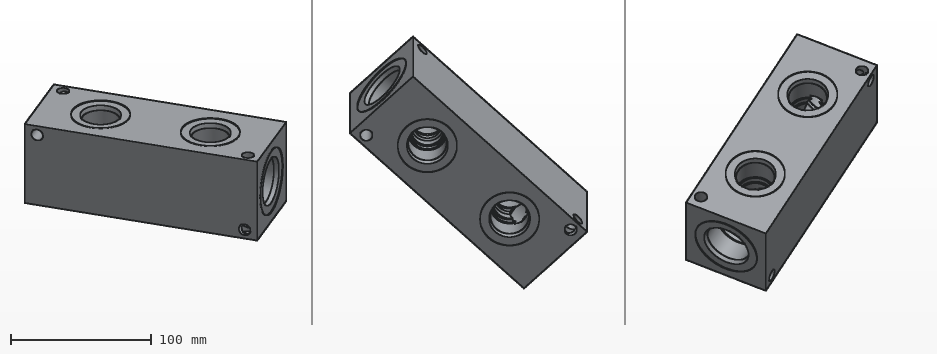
import cadquery as cq
import math

length = 174.6
side = 63.5
half_length = length / 2
half_side = side / 2

mount_diameter = 8.7
mount_end_distance = 9.5
mount_edge_distance = 7.2

spotface_depth = 0.7
seat_depth = 4.2
thread_depth = 19.9
tap_drill_depth = 23.7
drill_point_angle = 118.0

side_port_x = 41.2
side_spotface_diameter = 42.0
side_mouth_diameter = 29.2
side_seat_diameter = 27.5
side_thread_diameter = 27.0
side_tap_drill_diameter = 24.8
side_passage_diameter = 22.9
side_waist_diameter = 19.5

end_spotface_diameter = 49.0
end_mouth_diameter = 35.5
end_seat_diameter = 33.7
end_thread_diameter = 33.4
end_tap_drill_diameter = 31.3
end_bore_diameter = 28.6
left_tip_gap = 4.7
right_tip_gap = 3.5

pilot_diameter = 6.0
pilot_end_x = 22.7


def revolve_profile(steps):
    """Turn (radius, height) steps, the last one on the Z axis, into a solid about that axis."""
    first_height = steps[0][1]
    profile = cq.Workplane("XZ").polyline([(0, first_height)] + steps).close()
    return profile.revolve(360, (0, 0, 0), (0, 1, 0))


def point_height(large_diameter, small_diameter):
    """Axial length of a drill-point cone between two diameters."""
    return (large_diameter - small_diameter) / 2 / math.tan(math.radians(drill_point_angle / 2))


def side_port_pair():
    """Opposed stepped ports that join into one opening through the block along Z.

    Their drill points meet at a narrow waist on the block's mid-plane.
    """
    tap_cone = point_height(side_tap_drill_diameter, side_passage_diameter)
    waist_cone = point_height(side_passage_diameter, side_waist_diameter)
    upper_steps = [
        (side_spotface_diameter / 2, half_side),
        (side_spotface_diameter / 2, half_side - spotface_depth),
        (side_mouth_diameter / 2, half_side - spotface_depth),
        (side_seat_diameter / 2, half_side - seat_depth),
        (side_thread_diameter / 2, half_side - seat_depth),
        (side_thread_diameter / 2, half_side - thread_depth),
        (side_tap_drill_diameter / 2, half_side - thread_depth),
        (side_tap_drill_diameter / 2, half_side - tap_drill_depth),
        (side_passage_diameter / 2, half_side - tap_drill_depth - tap_cone),
        (side_passage_diameter / 2, waist_cone),
    ]
    waist = [(side_waist_diameter / 2, 0)]
    lower_steps = [(radius, -height) for radius, height in reversed(upper_steps)]
    return revolve_profile(upper_steps + waist + lower_steps + [(0, -half_side)])


def end_port(tip_gap):
    """Stepped port facing +Z whose bore ends in a cone, tip_gap short of the side port axis."""
    tip_height = side_port_x + tip_gap
    return revolve_profile([
        (end_spotface_diameter / 2, half_length),
        (end_spotface_diameter / 2, half_length - spotface_depth),
        (end_mouth_diameter / 2, half_length - spotface_depth),
        (end_seat_diameter / 2, half_length - seat_depth),
        (end_thread_diameter / 2, half_length - seat_depth),
        (end_thread_diameter / 2, half_length - thread_depth),
        (end_tap_drill_diameter / 2, half_length - thread_depth),
        (end_tap_drill_diameter / 2, half_length - tap_drill_depth),
        (end_bore_diameter / 2, half_length - tap_drill_depth),
        (end_bore_diameter / 2, tip_height + point_height(end_bore_diameter, 0)),
        (0, tip_height),
    ])


def pilot_drilling():
    """Blind drilling along Z, from the side port axis back towards the block centre."""
    return revolve_profile([
        (pilot_diameter / 2, side_port_x),
        (pilot_diameter / 2, pilot_end_x),
        (0, pilot_end_x),
    ])


result = cq.Workplane("XY").box(length, side, side)

for x in (-side_port_x, side_port_x):
    result = result.cut(side_port_pair().translate((x, 0, 0)))

for direction, tip_gap in ((-1, left_tip_gap), (1, right_tip_gap)):
    port = end_port(tip_gap).rotate((0, 0, 0), (0, 1, 0), direction * 90)
    result = result.cut(port)

result = result.cut(pilot_drilling().rotate((0, 0, 0), (0, 1, 0), 90))

mount_x = half_length - mount_end_distance
mount_offset = half_side - mount_edge_distance
for plane in ("XY", "XZ"):
    holes = (
        cq.Workplane(plane)
        .pushPoints([(-mount_x, mount_offset), (mount_x, -mount_offset)])
        .circle(mount_diameter / 2)
        .extrude(half_side, both=True)
    )
    result = result.cut(holes)